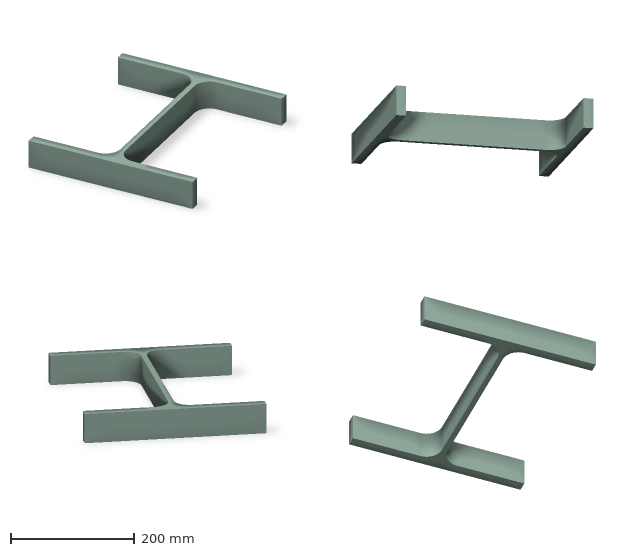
import cadquery as cq

flange_width = 300.0
section_depth = 330.0
web_thickness = 9.5
flange_thickness = 16.5
root_radius = 27.0
beam_length = 50.0


def make_flange(side):
    """Flange plate at the +Y (side = 1) or -Y (side = -1) end of the web."""
    center_y = side * (section_depth - flange_thickness) / 2
    return (
        cq.Workplane("XY")
        .center(0, center_y)
        .rect(flange_width, flange_thickness)
        .extrude(beam_length)
    )


def make_web():
    """Web plate running through the full section depth."""
    return cq.Workplane("XY").rect(web_thickness, section_depth).extrude(beam_length)


def round_roots(beam):
    """Fillet the four inner corners where the web meets the flanges."""
    root_x = web_thickness / 2
    root_y = section_depth / 2 - flange_thickness
    half_x = root_x + web_thickness / 2
    half_y = root_y + flange_thickness / 2
    root_zone = cq.selectors.BoxSelector(
        (-half_x, -half_y, 0),
        (half_x, half_y, beam_length),
    )
    return beam.edges("|Z").edges(root_zone).fillet(root_radius)


beam = make_web()
for side in (-1, 1):
    beam = beam.union(make_flange(side))

result = round_roots(beam.clean())